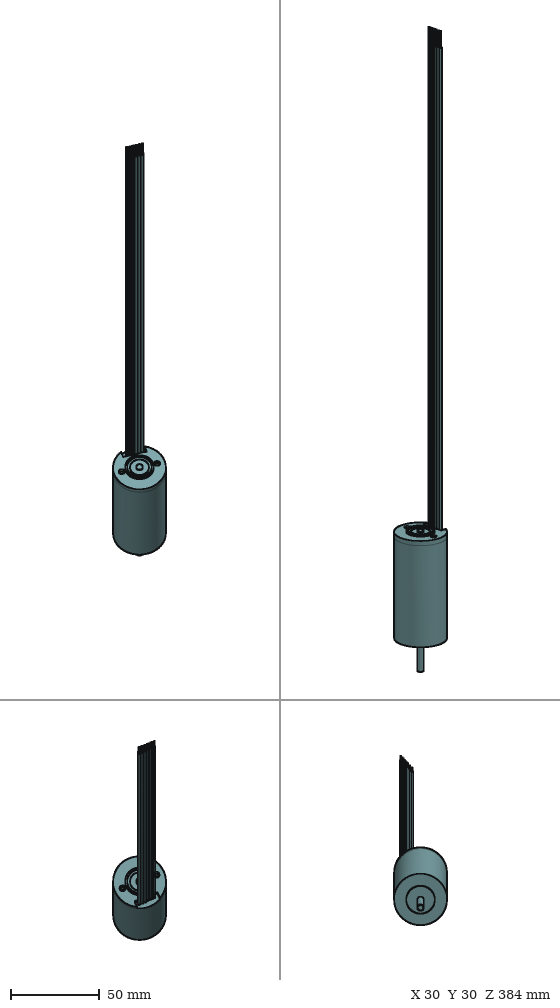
import cadquery as cq

total_height = 384.0
shaft_length = 20.0
body_length = 64.0

body_radius = 15.0
cap_thickness = 2.5
boss_radius = 8.0
front_boss_height = 1.0
rear_boss_height = 0.8

rear_step_radius = 7.0
rear_recess_radius = 5.5
rear_step_depth = 0.5

shaft_radius = 2.0
shaft_chamfer = 0.5

hole_spacing = 20.7
hole_radius = 0.95
hole_depth = 5.8
countersink_radius = 1.73

notch_width = 14.0
notch_inner_x = -9.5

wire_row_x = -11.0
wire_row_start_y = 5.8
strip_length = 10.0
motor_wire_count = 3
motor_wire_diameter = 1.7
motor_wire_pitch = 1.75
motor_core_diameter = 0.92
sensor_wire_count = 5
sensor_wire_diameter = 0.92
sensor_wire_pitch = 1.07
sensor_core_diameter = 0.8

boss_top = body_length + rear_boss_height
step_floor = boss_top - rear_step_depth
recess_floor = step_floor - rear_step_depth
notch_floor = body_length - cap_thickness
wire_top = total_height - shaft_length


def turn(half_profile):
    """Turn a closed (x, z) half profile about the motor axis."""
    outline = cq.Workplane("XZ").polyline(half_profile).close()
    return outline.revolve(360, (0, 0, 0), (0, 1, 0), clean=False)


def make_turned_motor():
    """Shaft, body and both bosses; the cap seam stays as an edge at the notch floor."""
    return turn(
        [
            (0, -shaft_length),
            (shaft_chamfer - shaft_radius, -shaft_length),
            (-shaft_radius, shaft_chamfer - shaft_length),
            (-shaft_radius, -front_boss_height),
            (-boss_radius, -front_boss_height),
            (-boss_radius, 0),
            (-body_radius, 0),
            (-body_radius, notch_floor),
            (-body_radius, body_length),
            (-boss_radius, body_length),
            (-boss_radius, boss_top),
            (-rear_step_radius, boss_top),
            (-rear_step_radius, step_floor),
            (-rear_recess_radius, step_floor),
            (-rear_recess_radius, recess_floor),
            (-shaft_radius, recess_floor),
            (-shaft_radius, boss_top),
            (0, boss_top),
        ]
    )


def make_wire_notch():
    """Cutter for the flat-sided notch through the -X rim."""
    cutter = cq.Workplane("XY", origin=(-body_radius, 0, notch_floor))
    return cutter.box(
        body_radius + notch_inner_x, notch_width, cap_thickness, centered=(False, True, False)
    )


def make_rear_hole(y):
    """Cutter for one blind hole with a 45 degree countersink."""
    countersink_depth = countersink_radius - hole_radius
    cutter = turn(
        [
            (0, body_length),
            (-countersink_radius, body_length),
            (-hole_radius, body_length - countersink_depth),
            (-hole_radius, body_length - hole_depth),
            (0, body_length - hole_depth),
        ]
    )
    return cutter.translate((0, y, 0))


def make_motor():
    motor = make_turned_motor().cut(make_wire_notch(), clean=False)
    for y in (-hole_spacing / 2, hole_spacing / 2):
        motor = motor.cut(make_rear_hole(y), clean=False)
    return motor


def make_wire(y, diameter, core_diameter):
    """One insulated wire standing on the notch floor, with its core bared at the top."""
    foot = cq.Workplane("XY", origin=(wire_row_x, y, notch_floor))
    insulation = foot.circle(diameter / 2).extrude(wire_top - strip_length - notch_floor)
    core = foot.circle(core_diameter / 2).extrude(wire_top - notch_floor)
    return insulation.union(core)


def make_wire_group(count, pitch, start_y, diameter, core_diameter):
    """Equal wires in a row that runs from start_y toward -Y."""
    return [
        make_wire(start_y - (i + 0.5) * pitch, diameter, core_diameter).val() for i in range(count)
    ]


motor = make_motor()
motor_wires = make_wire_group(
    motor_wire_count, motor_wire_pitch, wire_row_start_y, motor_wire_diameter, motor_core_diameter
)
sensor_row_start_y = wire_row_start_y - motor_wire_count * motor_wire_pitch
sensor_wires = make_wire_group(
    sensor_wire_count, sensor_wire_pitch, sensor_row_start_y, sensor_wire_diameter, sensor_core_diameter
)

result = cq.Compound.makeCompound([motor.val(), *motor_wires, *sensor_wires])